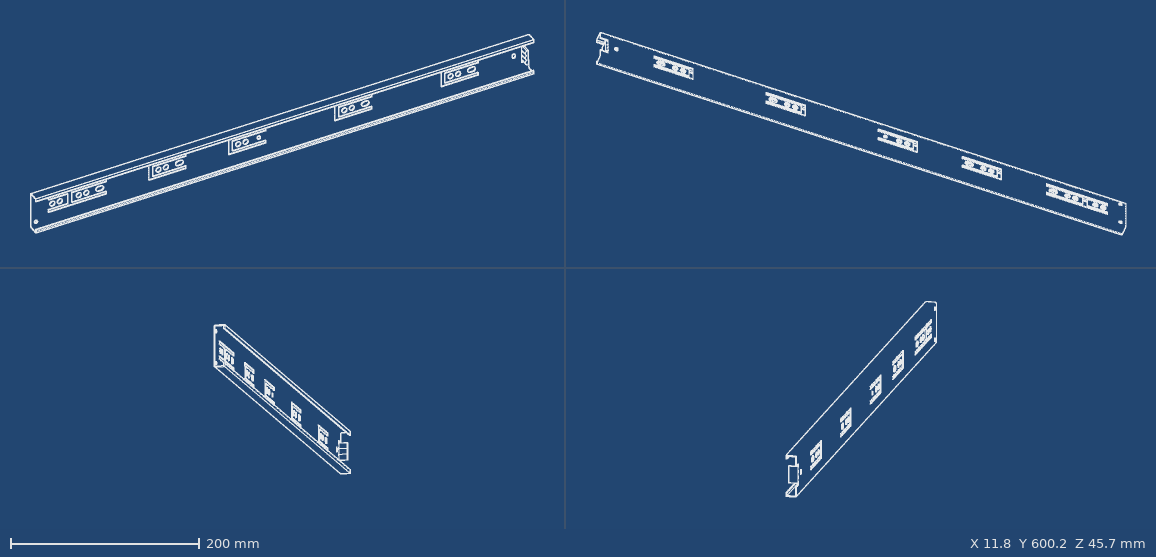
import cadquery as cq

LENGTH = 600.25
HEIGHT = 45.72
DEPTH = 11.8
SHEET = 1.2
BEND_RADIUS = 1.8
LIP_HEIGHT = 4.2
END_Y = LENGTH / 2

PITCH = 32.0
FIRST_WINDOW = 61.4
WINDOW_PITCHES = (0, 4, 8, 11, 14)
WINDOW_LENGTH = 44.5
WINDOW_HALF_HEIGHT = 9.8
TONGUE_HALF_HEIGHT = 6.5
WINDOW_GAP = 4.5
LONG_WINDOW_GAP = 5.2
LONG_WINDOW_GAP_STOP = 46.6
LONG_WINDOW_LENGTH = 69.7

SLOT_OFFSET = 7.9
SLOT_LENGTH = 9.2
HOLE_SIZE = 6.0
SMALL_HOLE_OFFSET = 8.2
SMALL_HOLE_DIAMETER = 4.0
SMALL_HOLE_WINDOW = 2
PAIR_OFFSETS = (24.1, 33.1)
SECOND_PAIR_OFFSETS = (56.0, 65.0)

END_SLOT_OFFSET = 18.5
END_SLOT_WIDTH = 3.6
END_SLOT_HEIGHT = 5.4
CORNER_HOLE_INSET = 6.2
CORNER_HOLE_Z = 17.2
CORNER_HOLE_DIAMETER = 3.6

NOTCH_HALF_HEIGHT = 11.6
NOTCH_DEPTH = 8.9
TAB_HALF_HEIGHT = 9.3
TAB_REACH = 10.2
TAB_FACE = 5.8
TAB_THICKNESS = 2.0
LOBE_COUNT = 3
LOBE_BULGE = 1.6


def from_end(distance):
    """Y position at a distance from the +Y end."""
    return END_Y - distance


def web_box(start, stop, half_height):
    """Cutting block through the web between two distances from the +Y end."""
    return (
        cq.Workplane("XY")
        .box(2 * SHEET, stop - start, 2 * half_height)
        .translate((SHEET / 2, from_end((start + stop) / 2), 0))
    )


def web_plane():
    """Sketch plane whose axes are Y and Z, just outside the web."""
    return cq.Workplane("YZ", origin=(-SHEET, 0, 0))


def round_hole(distance, diameter, z=0):
    return web_plane().center(from_end(distance), z).circle(diameter / 2).extrude(3 * SHEET)


def slotted_hole(distance, length, width, angle=0):
    return web_plane().center(from_end(distance), 0).slot2D(length, width, angle).extrude(3 * SHEET)


def channel():
    """C-shaped rail with lips turned in at the free edges."""
    outer = cq.Workplane("XY").box(DEPTH, LENGTH, HEIGHT).edges("|Y and <X").fillet(BEND_RADIUS)
    outer = outer.translate((DEPTH / 2, 0, 0))
    inside_width = DEPTH - 2 * SHEET
    inside_height = HEIGHT - 2 * SHEET
    inside = cq.Workplane("XY").box(inside_width, LENGTH, inside_height)
    inside = inside.edges("|Y and <X").fillet(BEND_RADIUS - SHEET).translate((DEPTH / 2, 0, 0))
    mouth = cq.Workplane("XY").box(2 * SHEET, LENGTH, HEIGHT - 2 * LIP_HEIGHT).translate((DEPTH, 0, 0))
    return outer.cut(inside).cut(mouth)


def window(start, length, gap_stop, gap_width):
    """Two long slots joined by a gap that frees the tongue between them."""
    opening = web_box(start, start + length, WINDOW_HALF_HEIGHT)
    spine = web_box(start, start + length, TONGUE_HALF_HEIGHT)
    gap = web_box(gap_stop - gap_width, gap_stop, WINDOW_HALF_HEIGHT)
    return opening.cut(spine).union(gap)


def cut_windows(body):
    last = len(WINDOW_PITCHES) - 1
    for index, pitches in enumerate(WINDOW_PITCHES):
        start = FIRST_WINDOW + pitches * PITCH
        length = LONG_WINDOW_LENGTH if index == last else WINDOW_LENGTH
        gap_stop = LONG_WINDOW_GAP_STOP if index == last else WINDOW_LENGTH
        gap_width = LONG_WINDOW_GAP if index == last else WINDOW_GAP
        body = body.cut(window(start, length, start + gap_stop, gap_width))
        if index == SMALL_HOLE_WINDOW:
            body = body.cut(round_hole(start + SMALL_HOLE_OFFSET, SMALL_HOLE_DIAMETER))
        else:
            body = body.cut(slotted_hole(start + SLOT_OFFSET, SLOT_LENGTH, HOLE_SIZE))
        offsets = PAIR_OFFSETS + SECOND_PAIR_OFFSETS if index == last else PAIR_OFFSETS
        for offset in offsets:
            body = body.cut(round_hole(start + offset, HOLE_SIZE))
    return body


def cut_single_holes(body):
    body = body.cut(slotted_hole(END_SLOT_OFFSET, END_SLOT_HEIGHT, END_SLOT_WIDTH, 90))
    for z in (-CORNER_HOLE_Z, CORNER_HOLE_Z):
        body = body.cut(round_hole(LENGTH - CORNER_HOLE_INSET, CORNER_HOLE_DIAMETER, z))
    return body


def end_tab():
    """Tab standing off the web, with convex lobes on its -Y side."""
    face_y = from_end(TAB_FACE)
    valley_y = face_y - TAB_THICKNESS
    lobe_height = 2 * TAB_HALF_HEIGHT / LOBE_COUNT
    profile = cq.Workplane("YZ").moveTo(face_y, -TAB_HALF_HEIGHT).lineTo(valley_y, -TAB_HALF_HEIGHT)
    for lobe in range(LOBE_COUNT):
        bottom = -TAB_HALF_HEIGHT + lobe * lobe_height
        crest = (valley_y - LOBE_BULGE, bottom + lobe_height / 2)
        profile = profile.threePointArc(crest, (valley_y, bottom + lobe_height))
    return profile.lineTo(face_y, TAB_HALF_HEIGHT).close().extrude(TAB_REACH)


rail = channel()
rail = cut_windows(rail)
rail = cut_single_holes(rail)
rail = rail.cut(web_box(0, NOTCH_DEPTH, NOTCH_HALF_HEIGHT))
result = rail.union(end_tab())